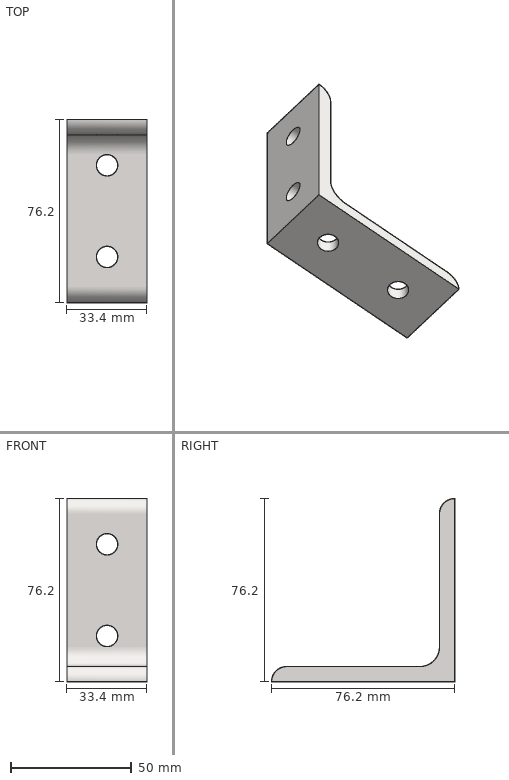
import cadquery as cq
import math

leg_length = 76.2
width = 33.4
thickness = 6.4
tip_radius = thickness
inner_radius = 8.0
hole_diameter = 8.8
hole_positions = (leg_length / 4, 3 * leg_length / 4)

DIAGONAL = math.sqrt(0.5)


def make_angle():
    """L-shaped section in the YZ plane, outer corner at the origin, legs along -Y and +Z."""
    tip_center = leg_length - tip_radius
    tip_mid = tip_center + tip_radius * DIAGONAL
    tip_mid_height = thickness - tip_radius + tip_radius * DIAGONAL
    fillet_center = thickness + inner_radius
    fillet_mid = fillet_center - inner_radius * DIAGONAL
    return (
        cq.Workplane("YZ")
        .moveTo(0, 0)
        .lineTo(-leg_length, 0)
        .threePointArc((-tip_mid, tip_mid_height), (-tip_center, thickness))
        .lineTo(-fillet_center, thickness)
        .threePointArc((-fillet_mid, fillet_mid), (-thickness, fillet_center))
        .lineTo(-thickness, tip_center)
        .threePointArc((-tip_mid_height, tip_mid), (0, leg_length))
        .close()
        .extrude(width / 2, both=True)
    )


def drill_legs(body):
    """Two through holes on the centre line of each leg."""
    radius = hole_diameter / 2
    hole_depth = thickness + inner_radius
    for position in hole_positions:
        foot_hole = cq.Solid.makeCylinder(
            radius, hole_depth, cq.Vector(0, -position, 0), cq.Vector(0, 0, 1)
        )
        wall_hole = cq.Solid.makeCylinder(
            radius, hole_depth, cq.Vector(0, 0, position), cq.Vector(0, -1, 0)
        )
        body = body.cut(foot_hole).cut(wall_hole)
    return body


result = drill_legs(make_angle())